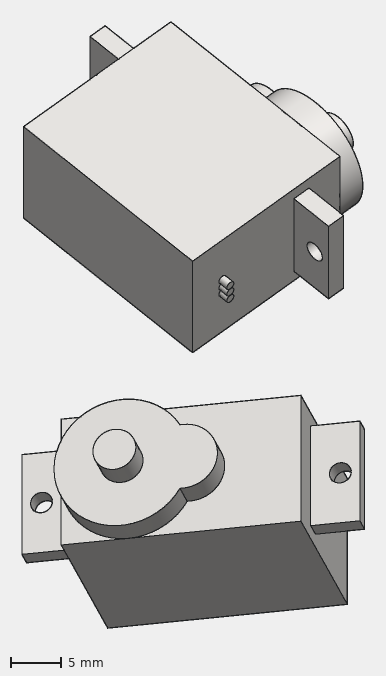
import cadquery as cq

case_length = 24.62
case_depth = 20.28
case_height = 13.9

ear_span = 34.73
ear_height = 11.0
ear_thickness = 2.1
ear_start = 13.93
ear_hole_diameter = 2.22
ear_hole_spacing = 30.7

housing_depth = 3.15
housing_radius = case_height / 2
housing_x = case_length / 2 - housing_radius
lobe_radius = 3.5
lobe_x = -0.97
shaft_diameter = 4.4
shaft_length = 3.15

wire_count = 3
wire_diameter = 0.97
wire_length = 1.15
wire_y = 4.1


def block(length, depth, height, start_y):
    """Box centred in X and Z that extends toward +Y from start_y."""
    return cq.Workplane("XY").box(length, depth, height, centered=(True, False, True)).translate((0, start_y, 0))


def cylinder_along_y(x, radius, start_y, length):
    """Round bar at height zero that extends toward +Y from start_y."""
    return cq.Workplane("XZ", origin=(x, start_y, 0)).circle(radius).extrude(-length)


def make_ears():
    plate = block(ear_span, ear_thickness, ear_height, ear_start)
    for side in (-1, 1):
        hole_x = side * ear_hole_spacing / 2
        plate = plate.cut(cylinder_along_y(hole_x, ear_hole_diameter / 2, ear_start, ear_thickness))
    return plate


def make_gear_housing():
    main_round = cylinder_along_y(housing_x, housing_radius, case_depth, housing_depth)
    lobe = cylinder_along_y(lobe_x, lobe_radius, case_depth, housing_depth)
    bridge_length = housing_x - lobe_x
    bridge = block(bridge_length, housing_depth, 2 * lobe_radius, case_depth)
    bridge = bridge.translate(((housing_x + lobe_x) / 2, 0, 0))
    return main_round.union(bridge).union(lobe)


def make_wire(index):
    z = (index - (wire_count - 1) / 2) * wire_diameter
    root_x = case_length / 2 - wire_length
    return cq.Workplane("YZ", origin=(root_x, wire_y, z)).circle(wire_diameter / 2).extrude(2 * wire_length)


result = block(case_length, case_depth, case_height, 0)
result = result.union(make_ears())
result = result.union(make_gear_housing())
result = result.union(
    cylinder_along_y(housing_x, shaft_diameter / 2, case_depth + housing_depth, shaft_length)
)
for wire_index in range(wire_count):
    result = result.union(make_wire(wire_index))